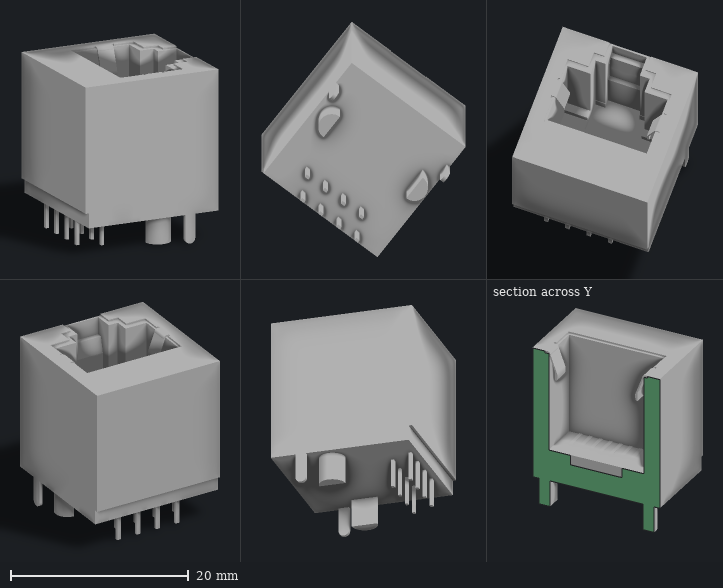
import cadquery as cq
import math


housing_width = 16.15
housing_depth = 16.7
overall_height = 19.95
tail_length = 3.41
housing_height = overall_height - tail_length
back_y = housing_depth / 2
undercut_height = 1.75
undercut_depth = 0.4

shield_thickness = 0.2
ledge_z = housing_height - shield_thickness
opening_half_widths = (2.47, 3.73, 6.22)
opening_drops = (0.0, 1.74, 3.51, 11.43)
cavity_half_widths = (2.05, 3.23, 5.98)
cavity_drops = (0.2, 2.51, 4.2, 11.1)
cavity_floor_z = 3.99
side_step_width = 0.92
side_step_height = 0.8
recess_drop_start = 2.57
recess_drop_end = 6.2
recess_depth = 1.2

catch_shelf_z = ledge_z - 2.17
catch_shelf_drop = 0.82
catch_bend_z = catch_shelf_z - 1.92
catch_bend_drop = 1.24
catch_lip_z = catch_bend_z - 2.63
catch_foot_z = catch_lip_z - 0.4
catch_foot_drop = 1.62

spring_drop_start = 6.22
spring_width = 2.01
relief_width = 0.25
spring_bend_radius = 0.42
spring_slope_run = 0.75
spring_slope_fall = 2.0
spring_tip_reach = 0.12
spring_tip_fall = 1.1
spring_thickness = 0.2

contact_count = 8
contact_pitch = 1.28
contact_width = 0.45
contact_rise = 0.08
long_contact_length = 2.71
short_contact_length = 2.37
long_contacts = (0, 3, 4, 7)
pin_width = 0.5
pin_thickness = 0.35
pin_length = 3.27
pin_rows_y = (-7.02, -4.53)

peg_radius = 1.52
peg_axis_x = 5.87
peg_y = 1.78
peg_length = pin_length
tab_width = 1.25
tab_thickness = 0.44
tab_y = 4.8


def block(x_range, y_range, z_range):
    """Box given by its lower and upper limits on each axis."""
    limits = (x_range, y_range, z_range)
    sizes = [high - low for low, high in limits]
    corner = tuple(low for low, high in limits)
    return cq.Workplane("XY").box(*sizes, centered=False).translate(corner)


def stepped_prism(half_widths, drops, bottom_z, top_z):
    """Symmetric prism that widens in steps from the back to the front."""
    right_side = []
    for half_width, start, end in zip(half_widths, drops, drops[1:]):
        right_side.append((half_width, back_y - start))
        right_side.append((half_width, back_y - end))
    left_side = [(-x, y) for x, y in reversed(right_side)]
    outline = cq.Workplane("XY").workplane(offset=bottom_z).polyline(right_side + left_side)
    return outline.close().extrude(top_z - bottom_z)


def both_sides(right_part):
    """The part together with its mirror image across X = 0."""
    return right_part.union(right_part.mirror("YZ"))


def make_housing():
    half_width = housing_width / 2
    body = block((-half_width, half_width), (-back_y, back_y), (0, housing_height))
    undercut = block(
        (-half_width, half_width), (-back_y, undercut_depth - back_y), (0, undercut_height)
    )
    return body.cut(undercut)


def make_port():
    """Space of the port: shield opening, cavity, floor recess and spring reliefs."""
    opening = stepped_prism(opening_half_widths, opening_drops, ledge_z, housing_height)
    cavity = stepped_prism(cavity_half_widths, cavity_drops, cavity_floor_z, ledge_z)
    recess = stepped_prism(
        cavity_half_widths[:2],
        (catch_foot_drop, recess_drop_start, recess_drop_end),
        cavity_floor_z - recess_depth,
        cavity_floor_z,
    )
    relief_half_width = opening_half_widths[-1] + relief_width
    relief_start_y = back_y - spring_drop_start + relief_width
    relief_end_y = back_y - spring_drop_start - spring_width - relief_width
    relief = block(
        (-relief_half_width, relief_half_width),
        (relief_end_y, relief_start_y),
        (ledge_z, housing_height),
    )
    return opening.union(cavity).union(recess).union(relief)


def make_side_steps():
    """Raised steps on the cavity floor beside the central recess."""
    start_y = back_y - cavity_drops[2]
    return both_sides(
        block(
            (cavity_half_widths[1], cavity_half_widths[2]),
            (start_y - side_step_width, start_y),
            (cavity_floor_z, cavity_floor_z + side_step_height),
        )
    )


def make_catch():
    """Catch with a flat shelf, a steep ramp below it and a sloping lip above its foot."""
    half_width = cavity_half_widths[0]
    wall_y = back_y - cavity_drops[0]
    profile = [
        (wall_y, catch_shelf_z),
        (back_y - catch_shelf_drop, catch_shelf_z),
        (back_y - catch_bend_drop, catch_bend_z),
        (back_y - catch_bend_drop, catch_lip_z),
        (back_y - catch_foot_drop, catch_foot_z),
        (back_y - catch_foot_drop, cavity_floor_z),
        (wall_y, cavity_floor_z),
    ]
    return cq.Workplane("YZ").polyline(profile).close().extrude(half_width, both=True)


def make_springs():
    """Strips that bend over the port edge, lean inwards and curl back at the tip."""
    root_x = opening_half_widths[-1] + relief_width
    bend_x = opening_half_widths[-1]
    slope_x = bend_x - spring_bend_radius
    slope_z = housing_height - spring_bend_radius
    bend_middle_offset = spring_bend_radius * math.sin(math.radians(45))
    middle_x = bend_x - bend_middle_offset
    middle_z = slope_z + bend_middle_offset
    tip_x = slope_x - spring_slope_run
    tip_z = slope_z - spring_slope_fall
    profile = (
        cq.Workplane("XZ", origin=(0, back_y - spring_drop_start, 0))
        .moveTo(root_x, housing_height)
        .lineTo(bend_x, housing_height)
        .threePointArc((middle_x, middle_z), (slope_x, slope_z))
        .lineTo(tip_x, tip_z)
        .threePointArc(
            (tip_x - spring_tip_reach, tip_z - spring_tip_fall / 2), (tip_x, tip_z - spring_tip_fall)
        )
        .lineTo(tip_x + spring_thickness, tip_z - spring_tip_fall)
        .lineTo(tip_x + spring_thickness, tip_z)
        .lineTo(slope_x + spring_thickness, slope_z)
        .lineTo(root_x, slope_z)
        .close()
    )
    return both_sides(profile.extrude(spring_width))


def contact_x(index):
    return (index - (contact_count - 1) / 2) * contact_pitch


def make_contact(index):
    """Contact that rises gently from the cavity floor to the front wall."""
    length = long_contact_length if index in long_contacts else short_contact_length
    wall_y = back_y - cavity_drops[-1]
    profile = [
        (wall_y, cavity_floor_z),
        (wall_y + length, cavity_floor_z),
        (wall_y, cavity_floor_z + contact_rise),
    ]
    wedge = cq.Workplane("YZ").polyline(profile).close().extrude(contact_width / 2, both=True)
    return wedge.translate((contact_x(index), 0, 0))


def make_pin(index):
    """Solder pin; neighbouring pins alternate between the two rows."""
    x = contact_x(index)
    y = pin_rows_y[index % 2]
    return block(
        (x - pin_width / 2, x + pin_width / 2),
        (y - pin_thickness / 2, y + pin_thickness / 2),
        (-pin_length, 0),
    )


def make_pegs():
    """Half-round pegs with the flat facing the middle of the jack."""
    return both_sides(
        cq.Workplane("XY")
        .moveTo(peg_axis_x, peg_y - peg_radius)
        .threePointArc((peg_axis_x + peg_radius, peg_y), (peg_axis_x, peg_y + peg_radius))
        .close()
        .extrude(-peg_length)
    )


def make_tabs():
    """Ground tabs flush with the housing sides, with fully rounded ends."""
    radius = tab_width / 2
    round_z = radius - tail_length
    return both_sides(
        cq.Workplane("YZ", origin=(housing_width / 2, 0, 0))
        .moveTo(tab_y + radius, 0)
        .lineTo(tab_y + radius, round_z)
        .threePointArc((tab_y, -tail_length), (tab_y - radius, round_z))
        .lineTo(tab_y - radius, 0)
        .close()
        .extrude(-tab_thickness)
    )


result = make_housing().cut(make_port())
for feature in (make_side_steps(), make_catch(), make_springs(), make_pegs(), make_tabs()):
    result = result.union(feature)
for contact_index in range(contact_count):
    result = result.union(make_contact(contact_index)).union(make_pin(contact_index))